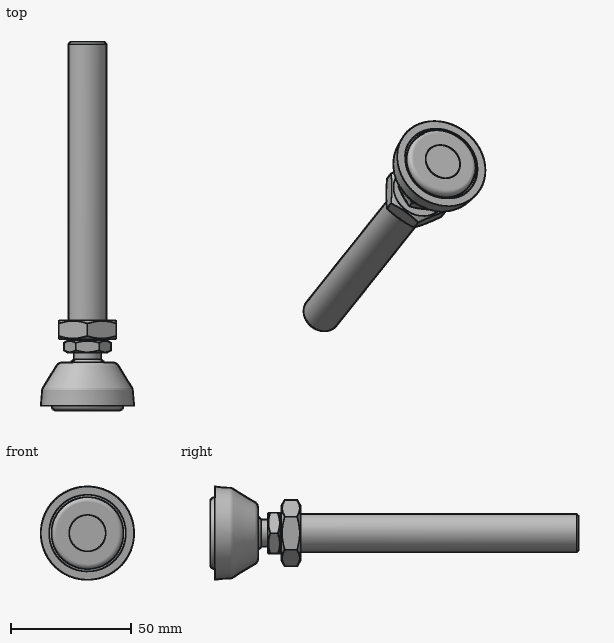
import cadquery as cq
import math


foot_radius = 19.5
foot_base_y = 2.0
band_top_y = 9.0
band_top_radius = 18.9
foot_top_y = 20.1
foot_top_radius = 12.1
band_edge_fillet = 1.8
top_edge_fillet = 3.0
pad_radius = 15.0
pad_fillet = foot_base_y
groove_outer_radius = 16.0
groove_depth = 1.0
recess_radius = 7.6
recess_depth = 0.2

rod_radius = 8.0
rod_end_y = 153.7
rod_end_chamfer = 1.0
neck_radius = 5.75
ball_radius = 9.5
neck_start_y = 21.3
ball_center_y = neck_start_y - math.sqrt(ball_radius**2 - neck_radius**2)
spindle_hex_flats = 17.0
spindle_hex_start_y = 24.1
spindle_hex_end_y = 29.3

nut_flats = 24.0
nut_start_y = 29.7
nut_height = 8.0

hex_chamfer_angle = 30.0
face_radius_ratio = 0.95


def revolve_about_y(profile):
    return profile.close().revolve(360, (0, 0, 0), (0, 1, 0))


def cylinder_along_y(radius, start_y, end_y):
    return revolve_about_y(
        cq.Workplane("XY").moveTo(0, start_y).lineTo(radius, start_y).lineTo(radius, end_y).lineTo(0, end_y)
    )


def chamfered_hexagon(flats, start_y, end_y, start_face_radius, end_face_radius, first_corner_angle):
    """Hexagonal prism along Y, chamfered by turning down to a round face at each end."""
    corner_radius = flats / math.sqrt(3)
    chamfer_slope = math.tan(math.radians(hex_chamfer_angle))
    start_drop = (corner_radius - start_face_radius) * chamfer_slope
    end_drop = (corner_radius - end_face_radius) * chamfer_slope
    corner_angles = [math.radians(first_corner_angle + 60 * i) for i in range(6)]
    corners = [(corner_radius * math.cos(a), corner_radius * math.sin(a)) for a in corner_angles]
    prism = (
        cq.Workplane("XZ", origin=(0, start_y, 0)).polyline(corners).close().extrude(start_y - end_y)
    )
    turned_envelope = revolve_about_y(
        cq.Workplane("XY")
        .moveTo(0, start_y)
        .lineTo(start_face_radius, start_y)
        .lineTo(corner_radius, start_y + start_drop)
        .lineTo(corner_radius, end_y - end_drop)
        .lineTo(end_face_radius, end_y)
        .lineTo(0, end_y)
    )
    return prism.intersect(turned_envelope)


def ball():
    return cq.Workplane("XY").sphere(ball_radius).translate((0, ball_center_y, 0))


def make_spindle():
    neck = cylinder_along_y(neck_radius, ball_center_y, spindle_hex_start_y)
    hexagon = chamfered_hexagon(
        flats=spindle_hex_flats,
        start_y=spindle_hex_start_y,
        end_y=spindle_hex_end_y,
        start_face_radius=face_radius_ratio * spindle_hex_flats / 2,
        end_face_radius=rod_radius,
        first_corner_angle=0,
    )
    rod = cylinder_along_y(rod_radius, spindle_hex_end_y, rod_end_y).faces(">Y").chamfer(rod_end_chamfer)
    return ball().union(neck).union(hexagon).union(rod)


def make_foot():
    groove_floor_y = foot_base_y + groove_depth
    shell = revolve_about_y(
        cq.Workplane("XY")
        .moveTo(0, foot_base_y)
        .lineTo(foot_radius, foot_base_y)
        .lineTo(band_top_radius, band_top_y)
        .lineTo(foot_top_radius, foot_top_y)
        .lineTo(0, foot_top_y)
    )
    shell = shell.faces(">Y").edges("%CIRCLE").fillet(top_edge_fillet)
    band_edge_center = cq.NearestToPointSelector((0, band_top_y, 0))
    shell = shell.edges("%CIRCLE").edges(band_edge_center).fillet(band_edge_fillet)
    groove = cylinder_along_y(groove_outer_radius, foot_base_y, groove_floor_y)
    pad = cylinder_along_y(pad_radius, 0, groove_floor_y).faces("<Y").edges().fillet(pad_fillet)
    recess = cylinder_along_y(recess_radius, 0, recess_depth)
    return shell.cut(groove).union(pad).cut(recess).cut(ball())


def make_nut():
    nut_end_y = nut_start_y + nut_height
    blank = chamfered_hexagon(
        flats=nut_flats,
        start_y=nut_start_y,
        end_y=nut_end_y,
        start_face_radius=face_radius_ratio * nut_flats / 2,
        end_face_radius=face_radius_ratio * nut_flats / 2,
        first_corner_angle=30,
    )
    return blank.cut(cylinder_along_y(rod_radius, nut_start_y, nut_end_y))


foot = make_foot()
spindle = make_spindle()
nut = make_nut()

result = cq.Compound.makeCompound([foot.val(), spindle.val(), nut.val()])